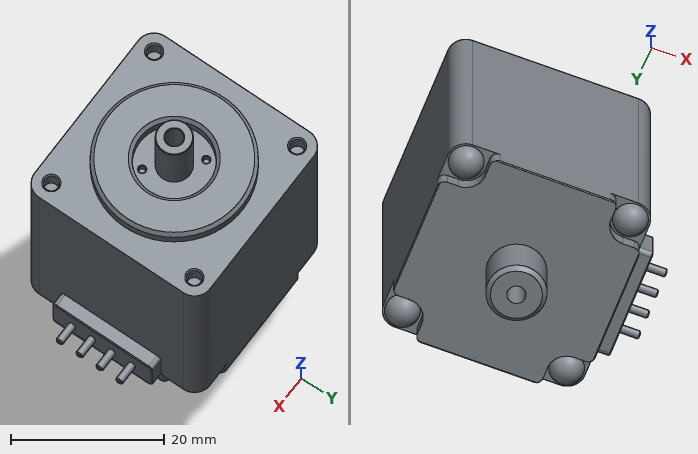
import cadquery as cq
import math

body_width = 28.2
body_height = 34
body_corner_radius = 2.5
body_base_chamfer = 0.15
body_base_z = 7
body_top_z = body_base_z + body_height
half_width = body_width / 2

pilot_diameter = 22
pilot_height = 2
pilot_chamfer = 0.5
recess_diameter = 11
recess_chamfer = 0.5

shaft_diameter = 5
shaft_chamfer = 0.1
shaft_top_z = 50
bore_diameter = 2.5
bore_chamfer = 0.1
hub_diameter = 8
hub_chamfer = 0.6

fixing_offset = 11.5
tapped_hole_diameter = 2.1
tapped_hole_depth = 2.5
tapped_hole_chamfer = 0.2

pin_hole_offset = 3
pin_hole_diameter = 1
pin_hole_depth = 1
pin_hole_chamfer = 0.1

pocket_depth = 2.1
pocket_radius = 2.7
pocket_lip_radius = 1
screw_head_radius = 2.35
screw_head_height = 2.1

connector_thickness = 2
connector_width = 16
connector_height = 5.5
connector_edge_radius = 0.6
connector_face_chamfer = 0.15
connector_z = 11.75
terminal_count = 4
terminal_pitch = 3.2
terminal_diameter = 1.1
terminal_length = 3
terminal_tip_chamfer = 0.15

corner_signs = [(-1, -1), (-1, 1), (1, -1), (1, 1)]
fixing_points = [(sx * fixing_offset, sy * fixing_offset) for sx, sy in corner_signs]
pin_hole_points = [(-pin_hole_offset, pin_hole_offset), (pin_hole_offset, -pin_hole_offset)]


def cylinder(diameter, bottom_z, top_z):
    """Upright cylinder on the motor axis."""
    return cq.Workplane("XY").workplane(offset=bottom_z).circle(diameter / 2).extrude(top_z - bottom_z)


def make_body():
    return (
        cq.Workplane("XY")
        .workplane(offset=body_base_z)
        .rect(body_width, body_width)
        .extrude(body_height)
        .edges("|Z")
        .fillet(body_corner_radius)
        .faces("<Z")
        .chamfer(body_base_chamfer)
    )


def make_pilot():
    pilot_top_z = body_top_z + pilot_height
    disc = cylinder(pilot_diameter, body_top_z, pilot_top_z).faces(">Z").chamfer(pilot_chamfer)
    recess = cylinder(recess_diameter, body_top_z, pilot_top_z)
    ring = disc.cut(recess)
    return ring.faces(">Z").edges(cq.selectors.RadiusNthSelector(0)).chamfer(recess_chamfer)


def make_corner_pocket():
    """Pocket for the (+X, +Y) corner: round inside, with its mouths rounded over onto the side faces."""
    wall = fixing_offset - pocket_radius
    lip_end = half_width - pocket_lip_radius
    mouth = wall - pocket_lip_radius
    arc_mid = fixing_offset - pocket_radius * math.sqrt(0.5)
    lip_mid = lip_end + pocket_lip_radius * math.sqrt(0.5)
    lip_side = mouth + pocket_lip_radius * math.sqrt(0.5)
    return (
        cq.Workplane("XY")
        .workplane(offset=body_base_z)
        .moveTo(half_width, half_width)
        .lineTo(mouth, half_width)
        .threePointArc((lip_side, lip_mid), (wall, lip_end))
        .lineTo(wall, fixing_offset)
        .threePointArc((arc_mid, arc_mid), (fixing_offset, wall))
        .lineTo(lip_end, wall)
        .threePointArc((lip_mid, lip_side), (half_width, mouth))
        .close()
        .extrude(pocket_depth)
    )


def make_screw_head():
    """Spherical cap hanging from the pocket roof, on the local Z axis."""
    roof_z = body_base_z + pocket_depth
    cap_radius = (screw_head_radius**2 + screw_head_height**2) / (2 * screw_head_height)
    cap_centre_z = roof_z - screw_head_height + cap_radius
    ball = cq.Workplane("XY").sphere(cap_radius).translate((0, 0, cap_centre_z))
    return ball.intersect(cylinder(2 * cap_radius, body_base_z, roof_z))


def make_countersunk_holes(points, diameter, depth, chamfer):
    """Blind holes sunk into the body top, each with a 45 degree mouth."""
    top_plane = cq.Workplane("XY").workplane(offset=body_top_z).pushPoints(points)
    holes = top_plane.circle(diameter / 2).extrude(-depth)
    mouths = top_plane.circle(diameter / 2 + chamfer).extrude(-chamfer, taper=45)
    return holes.union(mouths)


def make_connector():
    side_plane = cq.Workplane("YZ", origin=(half_width, 0, connector_z))
    housing = (
        side_plane.rect(connector_width, connector_height)
        .extrude(connector_thickness)
        .edges("|X")
        .fillet(connector_edge_radius)
        .faces(">X")
        .chamfer(connector_face_chamfer)
    )
    terminals = (
        side_plane.workplane(offset=connector_thickness)
        .rarray(terminal_pitch, 0.5, terminal_count, 1)
        .circle(terminal_diameter / 2)
        .extrude(terminal_length)
        .faces(">X")
        .chamfer(terminal_tip_chamfer)
    )
    return housing.union(terminals)


body = make_body()
pocket = make_corner_pocket()
for quarter_turn in range(4):
    body = body.cut(pocket.rotate((0, 0, 0), (0, 0, 1), 90 * quarter_turn))

screw_head = make_screw_head()
for x, y in fixing_points:
    body = body.union(screw_head.translate((x, y, 0)))

hub = cylinder(hub_diameter, 0, body_base_z).faces("<Z").chamfer(hub_chamfer)
shaft = cylinder(shaft_diameter, body_top_z, shaft_top_z).faces(">Z").chamfer(shaft_chamfer)
bore = cylinder(bore_diameter, 0, shaft_top_z)
bore_mouth = (
    cq.Workplane("XY")
    .workplane(offset=shaft_top_z)
    .circle(bore_diameter / 2 + bore_chamfer)
    .extrude(-bore_chamfer, taper=45)
)

tapped_holes = make_countersunk_holes(
    fixing_points, tapped_hole_diameter, tapped_hole_depth, tapped_hole_chamfer
)
pin_holes = make_countersunk_holes(pin_hole_points, pin_hole_diameter, pin_hole_depth, pin_hole_chamfer)

result = (
    body.union(make_pilot())
    .union(hub)
    .union(shaft)
    .union(make_connector())
    .cut(tapped_holes)
    .cut(pin_holes)
    .cut(bore)
    .cut(bore_mouth)
)